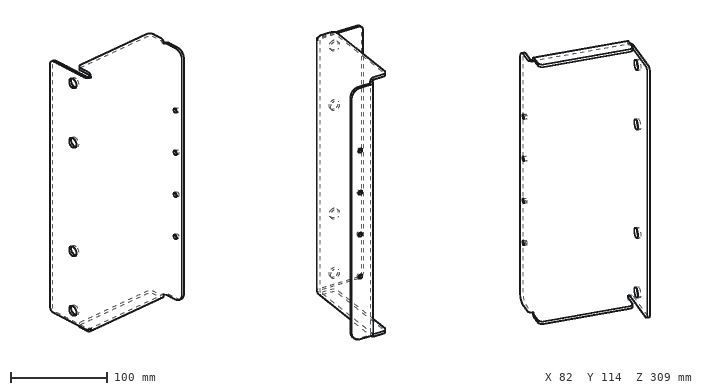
import cadquery as cq

width = 82.0
depth = 114.0
height = 309.0

thickness = 3.0
inner_bend = 2.0
outer_bend = inner_bend + thickness

web_outer_x = 57.0
web_inner_x = web_outer_x - thickness
end_flange_length = 21.0
plate_height = height - 2 * outer_bend
web_width = depth - 2 * outer_bend

front_corner = 5.0
back_corner = 10.0
end_corner = 5.0

large_hole = 11.0
large_hole_x = 34.3
large_hole_heights = (64.5, 135.3)
small_hole = 5.0
small_hole_x = 71.7
small_hole_pitch = 50.0
small_hole_count = 4


def bend(body, direction, inner_point, outer_point):
    """Round the inside and outside edges of one sheet metal bend."""
    for point, radius in ((inner_point, inner_bend), (outer_point, outer_bend)):
        edge = cq.selectors.NearestToPointSelector(point)
        body = body.edges("|" + direction).edges(edge).fillet(radius)
    return body


def main_channel():
    """Z-shaped section: front flange toward -X, web, back flange toward +X."""
    front = -depth / 2
    back = depth / 2
    outline = [
        (0, front),
        (web_outer_x, front),
        (web_outer_x, back - thickness),
        (width, back - thickness),
        (width, back),
        (web_inner_x, back),
        (web_inner_x, front + thickness),
        (0, front + thickness),
    ]
    body = cq.Workplane("XY").polyline(outline).close().extrude(plate_height / 2, both=True)
    body = bend(body, "Z", (web_inner_x, front + thickness, 0), (web_outer_x, front, 0))
    body = bend(body, "Z", (web_outer_x, back - thickness, 0), (web_inner_x, back, 0))
    body = body.edges("|Y").edges("<X").fillet(front_corner)
    return body.edges("|Y").edges(">X").fillet(back_corner)


def end_channel():
    """U-shaped section: the web with both end flanges turned toward -X."""
    flange_edge_x = web_outer_x - end_flange_length
    top = height / 2
    inside = top - thickness
    outline = [
        (flange_edge_x, -top),
        (web_outer_x, -top),
        (web_outer_x, top),
        (flange_edge_x, top),
        (flange_edge_x, inside),
        (web_inner_x, inside),
        (web_inner_x, -inside),
        (flange_edge_x, -inside),
    ]
    body = cq.Workplane("XZ").polyline(outline).close().extrude(web_width / 2, both=True)
    for side in (-1, 1):
        body = bend(body, "Y", (web_inner_x, 0, side * inside), (web_outer_x, 0, side * top))
    return body.edges("|Z").edges("<X").fillet(end_corner)


def flange_holes(flange_centre_y, points, diameter):
    """Cutters passing through one flange along Y."""
    plane = cq.Workplane("XZ", origin=(0, flange_centre_y, 0))
    return plane.pushPoints(points).circle(diameter / 2).extrude(thickness, both=True)


large_points = [(large_hole_x, side * z) for z in large_hole_heights for side in (-1, 1)]
small_points = [
    (small_hole_x, (index - (small_hole_count - 1) / 2) * small_hole_pitch)
    for index in range(small_hole_count)
]
flange_y = (depth - thickness) / 2

result = main_channel().union(end_channel())
result = result.cut(flange_holes(-flange_y, large_points, large_hole))
result = result.cut(flange_holes(flange_y, small_points, small_hole))